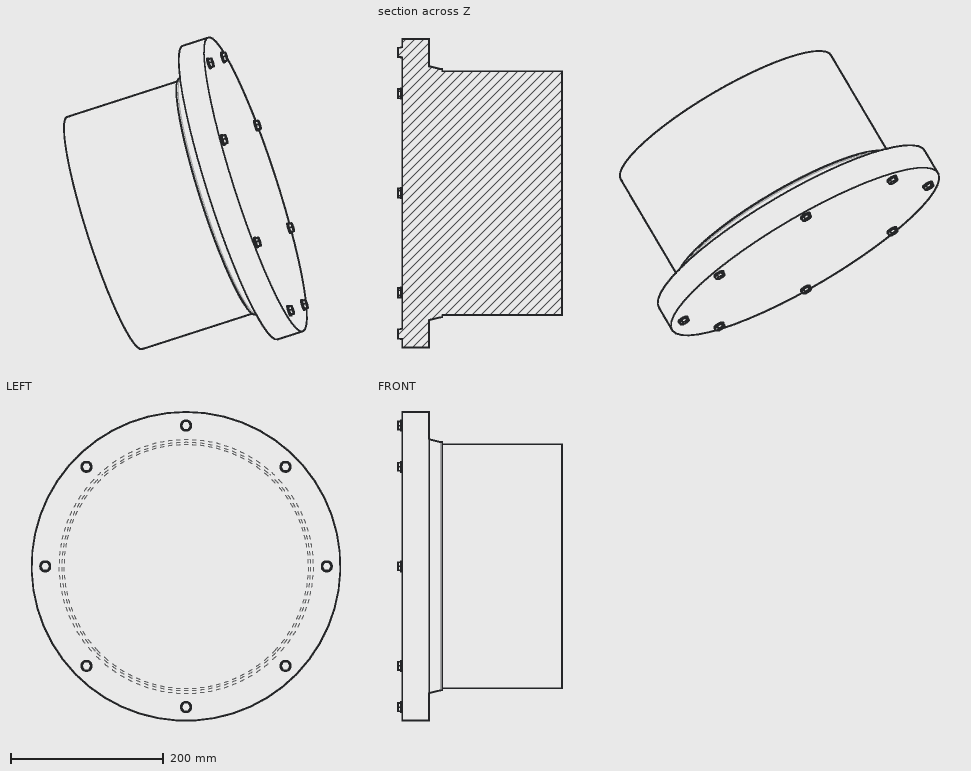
import cadquery as cq
import math

total_length = 216.0
flange_diameter = 406.0
flange_thickness = 35.5
pipe_diameter = 321.0

collar_base_diameter = 334.0
collar_end_diameter = 327.0
collar_taper_length = 15.0
collar_land_length = 2.5

bolt_count = 8
bolt_circle_diameter = 370.0
washer_diameter = 14.0
washer_thickness = 1.5
head_across_flats = 11.0
head_sides = 6
head_across_corners = head_across_flats / math.cos(math.pi / head_sides)
head_height = 4.0

bolted_face = 0.0
flange_back = bolted_face + flange_thickness
taper_end = flange_back + collar_taper_length
land_end = taper_end + collar_land_length
pipe_end = total_length - washer_thickness - head_height


def make_body():
    """Revolve the flange, tapered collar and pipe about the X axis."""
    profile = [
        (bolted_face, 0),
        (bolted_face, flange_diameter / 2),
        (flange_back, flange_diameter / 2),
        (flange_back, collar_base_diameter / 2),
        (taper_end, collar_end_diameter / 2),
        (land_end, collar_end_diameter / 2),
        (land_end, pipe_diameter / 2),
        (pipe_end, pipe_diameter / 2),
        (pipe_end, 0),
    ]
    return cq.Workplane("XZ").polyline(profile).close().revolve(360, (0, 0, 0), (1, 0, 0))


def bolt_positions():
    """Start a workplane on the bolted face with a point at every bolt."""
    return cq.Workplane("YZ", origin=(bolted_face, 0, 0)).polarArray(
        bolt_circle_diameter / 2, 0, 360, bolt_count, rotate=False
    )


def make_washers():
    """Round washers standing on the bolted face."""
    return bolt_positions().circle(washer_diameter / 2).extrude(-washer_thickness)


def make_heads():
    """Hexagonal heads, with two corners along Y, standing through the washers."""
    return bolt_positions().polygon(head_sides, head_across_corners).extrude(-washer_thickness - head_height)


result = make_body().union(make_washers()).union(make_heads())